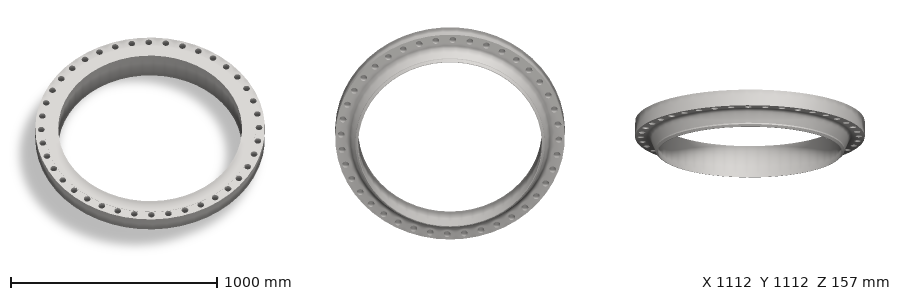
import cadquery as cq

outer_radius = 556.0
bore_radius = 445.0
total_height = 157.0

plate_thickness = 80.0
face_radius = 510.0
face_height = 1.0

hub_root_radius = 487.0
hub_root_fillet = 15.0
hub_end_radius = 458.0
hub_end_land = 7.0
weld_bevel_height = 10.0
weld_bevel_width = 10.0

bolt_count = 40
bolt_circle_radius = 527.0
bolt_hole_diameter = 32.0

plate_top = total_height - face_height
plate_bottom = total_height - plate_thickness
taper_bottom = weld_bevel_height + hub_end_land


def flange_body():
    """Revolve the half section of the flange about the Z axis."""
    section = (
        cq.Workplane("XZ")
        .moveTo(bore_radius, 0)
        .lineTo(hub_end_radius - weld_bevel_width, 0)
        .lineTo(hub_end_radius, weld_bevel_height)
        .lineTo(hub_end_radius, taper_bottom)
        .lineTo(hub_root_radius, plate_bottom)
        .lineTo(outer_radius, plate_bottom)
        .lineTo(outer_radius, plate_top)
        .lineTo(face_radius, plate_top)
        .lineTo(face_radius, total_height)
        .lineTo(bore_radius, total_height)
        .close()
    )
    body = section.revolve(360, (0, 0, 0), (0, 1, 0))
    plate_underside = body.faces("|Z").faces(cq.selectors.CenterNthSelector(cq.Vector(0, 0, 1), 1))
    return plate_underside.edges(cq.selectors.RadiusNthSelector(0)).fillet(hub_root_fillet)


def bolt_holes():
    """Through-hole cutters, the first on the +X axis."""
    return (
        cq.Workplane("XY")
        .workplane(offset=plate_bottom)
        .polarArray(bolt_circle_radius, 0, 360, bolt_count)
        .circle(bolt_hole_diameter / 2)
        .extrude(plate_thickness)
    )


result = flange_body().cut(bolt_holes())